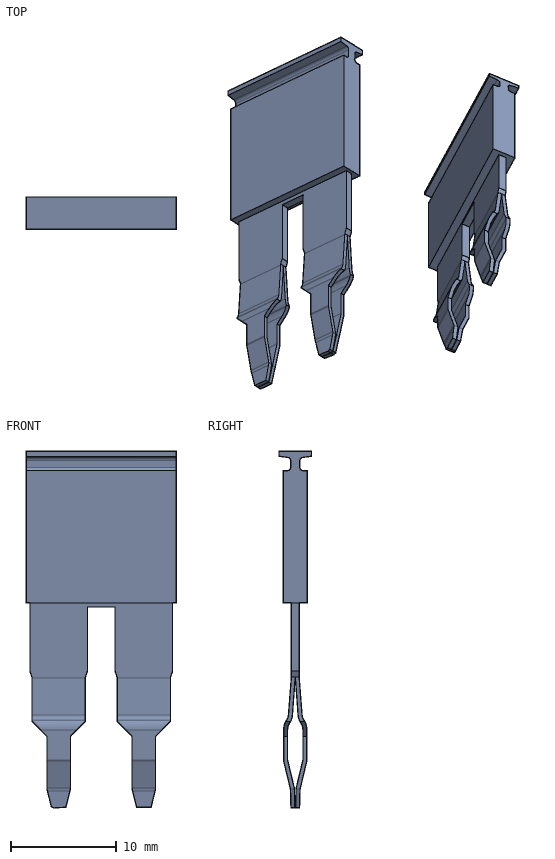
import cadquery as cq
import math


grip_length = 14.3
grip_height = 14.44
grip_thickness = 2.3
cap_width = 3.1
cap_edge_height = 0.5
cap_underside_drop = 0.15
neck_thickness = 0.9
neck_fillet = 0.3
shoulder_z = grip_height - 1.85

leg_pitch = 8.1
leg_width = 5.5
blade_width = 5.1
shank_width = 2.25
tip_width = 1.4
plate_thickness = 0.78
slot_top_z = -0.41
leg_taper_top_z = -6.5
leg_taper_bottom_z = -7.06
shank_taper_top_z = -11.27
shank_taper_bottom_z = -12.7
tip_taper_z = -17.7
tip_end_z = -19.45

point_end_z = -19.52
point_offset = 0.45
bevel_height = 0.12

leaf_thickness = 0.4
split_z = -7.16
spread_angle = 4.4
flare_angle = 33
closing_angle = -13.4
tip_angle = -1.2

leaf_course = [
    (-10.65, spread_angle),
    (-11.14, flare_angle),
    (-11.18, flare_angle),
    (-12.08, 0),
    (-14.95, 0),
    (-15.05, closing_angle),
    (-17.61, closing_angle),
    (-17.92, tip_angle),
    (point_end_z, tip_angle),
]


def make_grip():
    cap_edge_z = grip_height - cap_edge_height
    neck_top_z = cap_edge_z - cap_underside_drop
    half_outline = [
        (0, 0),
        (grip_thickness / 2, 0),
        (grip_thickness / 2, shoulder_z),
        (neck_thickness / 2, shoulder_z),
        (neck_thickness / 2, neck_top_z),
        (cap_width / 2, cap_edge_z),
        (cap_width / 2, grip_height),
        (0, grip_height),
    ]
    half = cq.Workplane("YZ").polyline(half_outline).close().extrude(grip_length / 2, both=True)
    grip = half.union(half.mirror("XZ"))
    neck_corners = cq.selectors.BoxSelector(
        (-grip_length, -neck_thickness, shoulder_z - neck_fillet),
        (grip_length, neck_thickness, neck_top_z + neck_fillet),
    )
    return grip.edges("|X").edges(neck_corners).fillet(neck_fillet)


def outer_point(start, start_angle, end_z, end_angle, fraction):
    """Point and heading part-way along a straight or an arc of the outer face."""
    y, z = start
    drop = z - end_z
    angle = start_angle + fraction * (end_angle - start_angle)
    if start_angle == end_angle:
        return (y + fraction * drop * math.tan(angle), z - fraction * drop), angle
    radius = drop / (math.sin(end_angle) - math.sin(start_angle))
    shift = radius * (math.cos(start_angle) - math.cos(angle))
    fall = radius * (math.sin(angle) - math.sin(start_angle))
    return (y + shift, z - fall), angle


def inner_point(point, angle):
    """Point on the leaf's inner face, square across from a point on its outer face."""
    y, z = point
    return (y - leaf_thickness * math.cos(angle), z - leaf_thickness * math.sin(angle))


def make_leaf():
    point = (plate_thickness / 2, split_z)
    angle = math.radians(spread_angle)
    outline = cq.Workplane("YZ").moveTo(*point)
    inner_start = (0, split_z)
    inner_stretches = []
    for end_z, end_degrees in leaf_course:
        end_angle = math.radians(end_degrees)
        middle, middle_angle = outer_point(point, angle, end_z, end_angle, 0.5)
        end, _ = outer_point(point, angle, end_z, end_angle, 1)
        bent = end_angle != angle
        if bent:
            outline = outline.threePointArc(middle, end)
        else:
            outline = outline.lineTo(*end)
        inner_stretches.append((bent, inner_point(middle, middle_angle), inner_start))
        inner_start = inner_point(end, end_angle)
        point = end
        angle = end_angle
    outline = outline.lineTo(*inner_start)
    for bent, middle, stretch_start in reversed(inner_stretches):
        if bent:
            outline = outline.threePointArc(middle, stretch_start)
        else:
            outline = outline.lineTo(*stretch_start)
    return outline.close().extrude(grip_length / 2, both=True)


def make_leg_outline(center_x, tip_points):
    """Prism along Y with the face outline of one leg."""
    left_side = [
        (-leg_width / 2, 0),
        (-leg_width / 2, leg_taper_top_z),
        (-blade_width / 2, leg_taper_bottom_z),
        (-blade_width / 2, shank_taper_top_z),
        (-shank_width / 2, shank_taper_bottom_z),
        (-shank_width / 2, tip_taper_z),
    ]
    right_side = [(-x, z) for x, z in reversed(left_side)]
    return (
        cq.Workplane("XZ")
        .center(center_x, 0)
        .polyline(left_side + tip_points + right_side)
        .close()
        .extrude(cap_width, both=True)
    )


def make_contact():
    flat_tip = [(-tip_width / 2, tip_end_z), (tip_width / 2, tip_end_z)]
    pointed_tip = [
        (-tip_width / 2, point_end_z + bevel_height),
        (-point_offset, point_end_z),
        (tip_width / 2, tip_end_z),
    ]
    leaf = make_leaf()
    plate = cq.Workplane("XY").rect(grip_length, plate_thickness).extrude(split_z)
    springs = plate.union(leaf).union(leaf.mirror("XZ"))
    contact = cq.Workplane("XY").rect(leg_pitch, plate_thickness).extrude(slot_top_z)
    for side, tip_points in ((-1, pointed_tip), (1, flat_tip)):
        leg = springs.intersect(make_leg_outline(side * leg_pitch / 2, tip_points))
        contact = contact.union(leg)
    return contact


grip = make_grip()
contact = make_contact()
result = cq.Compound.makeCompound([grip.solids().val(), contact.solids().val()])